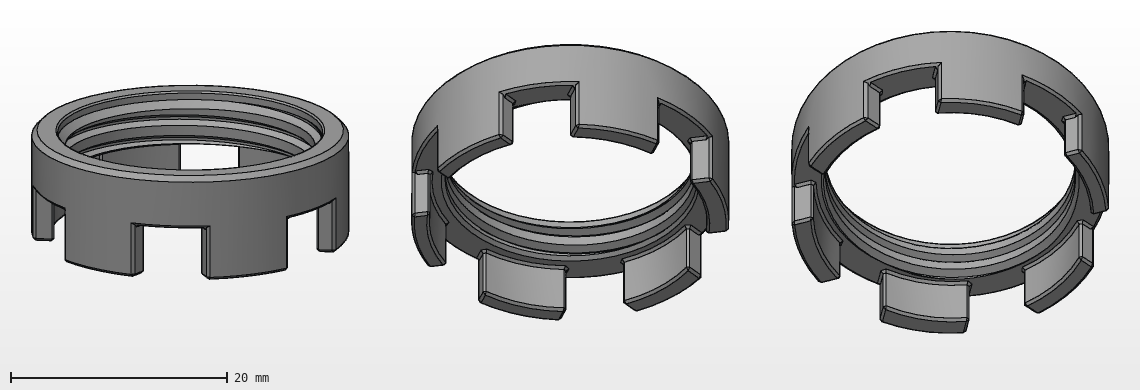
import cadquery as cq
import math

outer_diameter = 29.36
bore_diameter = 23.18
relief_diameter = 24.54
height = 10.0
top_outer_chamfer = 0.5
top_inner_chamfer = 0.17
thread_top = 9.2
lower_bore_chamfer = 0.35

pitch = 2.0
root_width = 0.25
flank_angle = 30.0
root_clearance = 0.01
groove_overcut = 0.1
groove_start_height = 4.2
groove_start_angle = -60
groove_turns = 2.6

leg_count = 6
leg_height = 5.0
leg_width = 8.1
leg_inner_diameter = 25.7
leg_pattern_shift = 0.19
edge_chamfer = 0.25

outer_radius = outer_diameter / 2
bore_radius = bore_diameter / 2
relief_radius = relief_diameter / 2
leg_inner_radius = leg_inner_diameter / 2
tolerance = 1e-3


def make_blank():
    """Threaded-band ring with a solid disc below it, from which the legs are cut."""
    cone_height = relief_radius - bore_radius
    profile = [
        (bore_radius + lower_bore_chamfer, leg_height),
        (outer_radius, leg_height),
        (outer_radius, height - top_outer_chamfer),
        (outer_radius - top_outer_chamfer, height),
        (relief_radius + top_inner_chamfer, height),
        (relief_radius, height - top_inner_chamfer),
        (relief_radius, thread_top),
        (bore_radius, thread_top - cone_height),
        (bore_radius, leg_height + lower_bore_chamfer),
    ]
    ring = cq.Workplane("XZ").polyline(profile).close().revolve(360, (0, 0), (0, 1))
    disc = cq.Workplane("XY").circle(outer_radius).extrude(leg_height)
    return ring.union(disc)


def make_leg_gaps():
    """Everything below the ring except the outer ends of three crossed bars."""
    bar_length = 2 * outer_diameter
    gaps = cq.Workplane("XY").circle(outer_diameter).extrude(leg_height)
    for i in range(leg_count // 2):
        bar = cq.Workplane("XY").rect(bar_length, leg_width).extrude(leg_height)
        gaps = gaps.cut(bar.rotate((0, 0, 0), (0, 0, 1), i * 360 / leg_count))
    inner_clearance = cq.Workplane("XY").circle(leg_inner_radius).extrude(leg_height)
    return gaps.union(inner_clearance).translate((leg_pattern_shift, 0, 0))


def edges_between(body, lowest, highest, smallest_radius, largest_radius):
    """Edges inside a height range whose midpoints lie in a range of distances from Z."""

    def is_inside(edge):
        box = edge.BoundingBox()
        middle = edge.positionAt(0.5)
        radius = math.hypot(middle.x, middle.y)
        in_height = lowest - tolerance < box.zmin and box.zmax < highest + tolerance
        in_radius = smallest_radius - tolerance < radius < largest_radius + tolerance
        return in_height and in_radius

    return [edge for edge in body.edges().vals() if is_inside(edge)]


def chamfer_legs(body):
    """Chamfer the outline of legs and gaps, then the inside corners where legs meet the ring."""
    smallest_leg_radius = leg_inner_radius - leg_pattern_shift
    roof_edges = edges_between(body, leg_height, leg_height, outer_radius, outer_radius)
    leg_edges = edges_between(body, 0, leg_height, smallest_leg_radius, outer_radius)
    upright_and_foot_edges = [edge for edge in leg_edges if edge.BoundingBox().zmin < tolerance]
    body = body.newObject(roof_edges + upright_and_foot_edges).chamfer(edge_chamfer)

    roof_rim_radius = outer_radius - edge_chamfer
    corner_edges = edges_between(
        body, leg_height, leg_height, smallest_leg_radius, roof_rim_radius - 2 * tolerance
    )
    return body.newObject(corner_edges).chamfer(edge_chamfer)


def make_groove():
    """Helical cutter with a trapezoid section."""
    root_radius = relief_radius - root_clearance
    mouth_radius = bore_radius - groove_overcut
    root_half = root_width / 2
    mouth_half = root_half + (root_radius - mouth_radius) * math.tan(math.radians(flank_angle))
    section = [
        (mouth_radius, -mouth_half),
        (root_radius, -root_half),
        (root_radius, root_half),
        (mouth_radius, mouth_half),
    ]
    helix = cq.Wire.makeHelix(pitch, pitch * groove_turns, bore_radius)
    cutter = cq.Workplane("XZ").polyline(section).close().sweep(cq.Workplane(helix), isFrenet=True)
    return cutter.rotate((0, 0, 0), (0, 0, 1), groove_start_angle).translate((0, 0, groove_start_height))


legged_ring = chamfer_legs(make_blank().cut(make_leg_gaps()))
result = legged_ring.cut(make_groove())